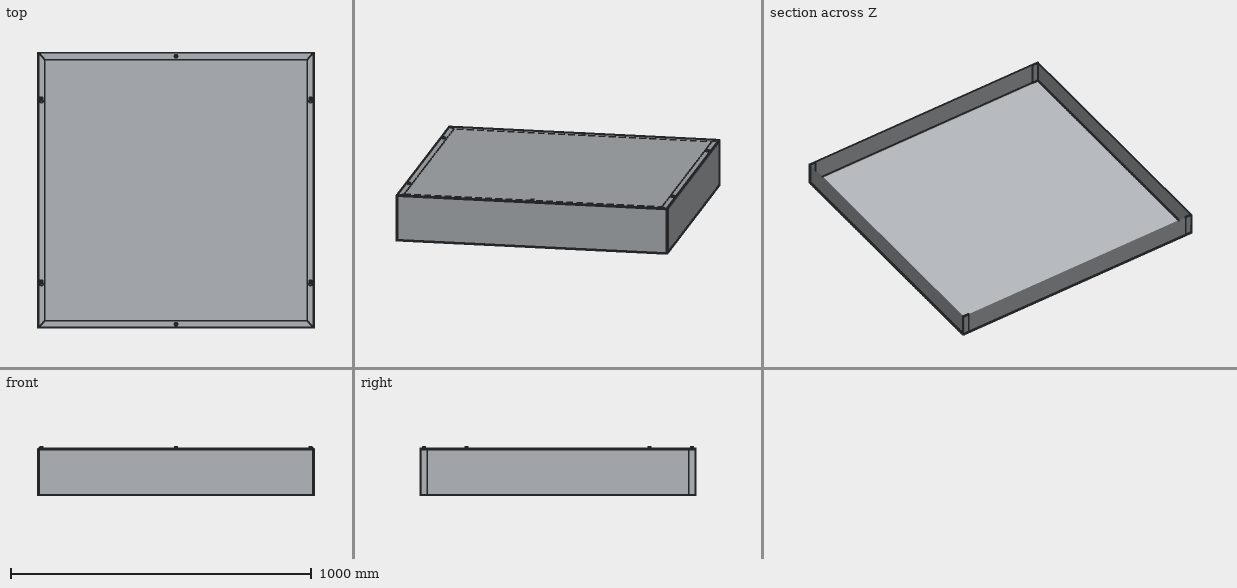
import cadquery as cq

length = 919.0
width = 915.0
overall_height = 161.0
sheet = 2.7
lid_thickness = 2.3
bend_radius = sheet
flange = 23.0

head_diameter = 10.0
head_top_diameter = 7.9
head_height = 4.0
shank_diameter = 4.3
shank_length = 9.0
clearance = 4.9
keyhole_entry = 11.0
keyhole_travel = 7.0
side_screw_y = 304.0
side_screw_inset = 12.0
end_screw_inset = 12.0

lid_top = overall_height - head_height
lid_bottom = lid_top - lid_thickness
flange_bottom = lid_bottom - sheet
lid_length = length - 2 * bend_radius
inner_length = length - 2 * sheet
side_screw_x = length / 2 - side_screw_inset
end_screw_y = width / 2 - end_screw_inset
side_screws = [(x, y) for x in (-side_screw_x, side_screw_x) for y in (-side_screw_y, side_screw_y)]
end_screws = [(0, -end_screw_y), (0, end_screw_y)]
screw_points = side_screws + end_screws


def block(size_x, size_y, z_low, z_high):
    """Box centred on the Z axis between two heights."""
    return cq.Workplane().workplane(offset=z_low).rect(size_x, size_y).extrude(z_high - z_low)


def drill(body, points, diameter):
    """Cut vertical holes through the top sheets of a body."""
    holes = (
        cq.Workplane()
        .workplane(offset=flange_bottom)
        .pushPoints(points)
        .circle(diameter / 2)
        .extrude(lid_top - flange_bottom)
    )
    return body.cut(holes)


def make_end_flange(side):
    """Top flange of one end panel, mitred at 45 degrees; side is -1 (front) or +1 (back)."""
    outer_y = side * width / 2
    inner_y = side * (width / 2 - flange)
    outer_x = inner_length / 2
    inner_x = length / 2 - flange
    outline = [(-outer_x, outer_y), (outer_x, outer_y), (inner_x, inner_y), (-inner_x, inner_y)]
    return cq.Workplane().workplane(offset=flange_bottom).polyline(outline).close().extrude(sheet)


def make_wrapper():
    """Floor and both side walls from one sheet, with flanges turned in under the lid."""
    body = block(length, width, 0, lid_bottom).edges("|Y").fillet(bend_radius)
    body = body.cut(block(inner_length, width, sheet, flange_bottom))
    body = body.cut(block(length - 2 * flange, width, flange_bottom, lid_bottom))
    for side in (-1, 1):
        body = body.cut(make_end_flange(side))
    return drill(body, side_screws, shank_diameter)


def make_end_panel(side):
    """End wall between the side walls, with side flanges and a mitred top flange."""
    wall_y = side * (width - flange) / 2
    body = block(inner_length, flange, sheet, flange_bottom)
    pocket = block(inner_length - 2 * sheet, flange, sheet, flange_bottom).translate((0, -side * sheet, 0))
    outer_corners = body.faces("<Y" if side < 0 else ">Y").edges("|Z")
    body = outer_corners.fillet(bend_radius).cut(pocket).translate((0, wall_y, 0))
    return drill(body.union(make_end_flange(side)), end_screws, shank_diameter)


def make_keyhole(x, y):
    """Lid opening with a screw at its +Y end and a wide entry hole on the -Y side."""
    base = cq.Workplane().workplane(offset=lid_bottom)
    entry_y = y - keyhole_travel
    entry = base.center(x, entry_y).circle(keyhole_entry / 2).extrude(lid_thickness)
    neck = base.center(x, y - keyhole_travel / 2).rect(clearance, keyhole_travel).extrude(lid_thickness)
    end = base.center(x, y).circle(clearance / 2).extrude(lid_thickness)
    return entry.union(neck).union(end)


def make_lid():
    """Flat cover with round holes at the ends and keyholes along the sides."""
    body = block(lid_length, width, lid_bottom, lid_top)
    for x, y in side_screws:
        body = body.cut(make_keyhole(x, y))
    return drill(body, end_screws, clearance)


def make_screw(x, y):
    """Screw with a tapered round head seated on the lid and a shank through the flange."""
    head = (
        cq.Workplane()
        .circle(head_diameter / 2)
        .workplane(offset=head_height)
        .circle(head_top_diameter / 2)
        .loft(ruled=True)
    )
    shank = cq.Workplane().circle(shank_diameter / 2).extrude(-shank_length)
    return head.union(shank).translate((x, y, lid_top))


wrapper = make_wrapper()
end_panels = [make_end_panel(side) for side in (-1, 1)]
lid = make_lid()
screws = [make_screw(x, y) for x, y in screw_points]

result = cq.Compound.makeCompound(
    [
        wrapper.val(),
        *[panel.val() for panel in end_panels],
        lid.val(),
        *[screw.val() for screw in screws],
    ]
)